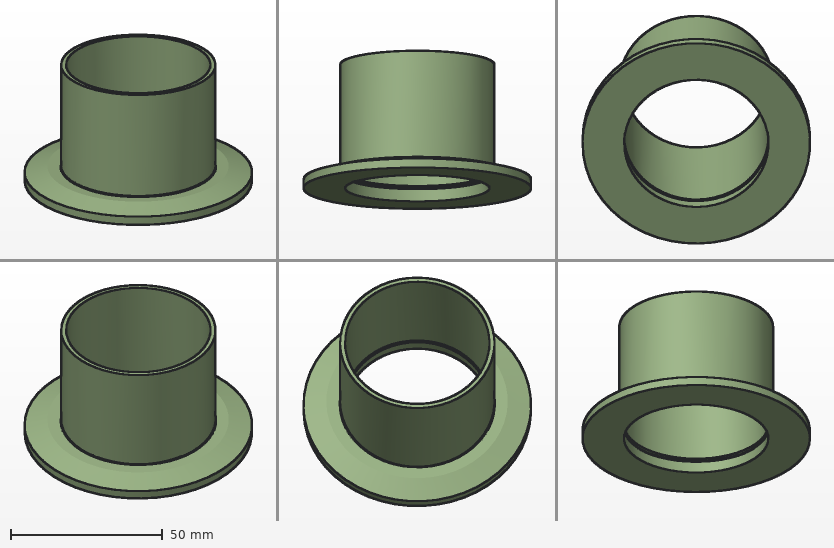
import cadquery as cq

tube_diameter = 50.8
tube_wall = 1.65
total_height = 41.35
bore_diameter = tube_diameter - 2 * tube_wall

flange_diameter = 74.9
flange_height = 5.0
rim_height = 3.0
flat_diameter = 59.7

radial_clearance = 0.15
socket_depth = 1.0
socket_diameter = tube_diameter + 2 * radial_clearance
socket_floor = flange_height - socket_depth

axial_gap = 0.15
tube_bottom = flange_height + axial_gap


def make_flange():
    """Ring with a tapered upper side and a stepped bore, revolved about Z."""
    return (
        cq.Workplane("XZ")
        .moveTo(bore_diameter / 2, 0)
        .lineTo(flange_diameter / 2, 0)
        .lineTo(flange_diameter / 2, rim_height)
        .lineTo(flat_diameter / 2, flange_height)
        .lineTo(socket_diameter / 2, flange_height)
        .lineTo(socket_diameter / 2, socket_floor)
        .lineTo(bore_diameter / 2, socket_floor)
        .close()
        .revolve(360, (0, 0, 0), (0, 1, 0))
    )


def make_tube():
    """Plain tube, coaxial with the flange and just above its socket."""
    return (
        cq.Workplane("XY")
        .workplane(offset=tube_bottom)
        .circle(tube_diameter / 2)
        .circle(bore_diameter / 2)
        .extrude(total_height - tube_bottom)
    )


flange = make_flange()
tube = make_tube()
result = cq.Compound.makeCompound([flange.val(), tube.val()])